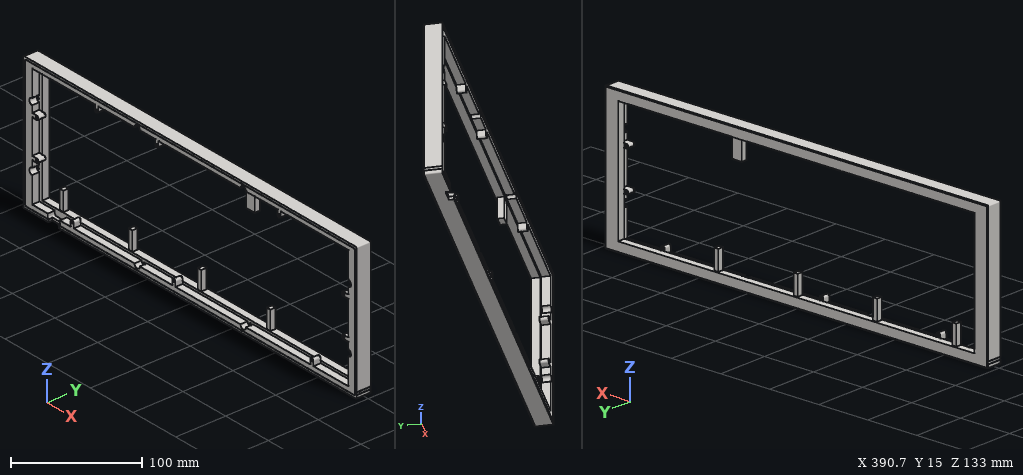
import cadquery as cq
LENGTH = 390.7
DEPTH = 15.0
HEIGHT = 133

LEDGE_Y = 7.5
SIDE_RAIL = 13.5
END_RAIL = 9.5
SIDE_LEDGE = 3.5
END_LEDGE = 2.5

CORNER_RADIUS = 1.0
BACK_CHAMFER = 0.8
RIM_WIDTH = 2.5
SIDE_RIM_WIDTH = 2.0
RIM_DEPTH = 0.2
RIM_INNER_RADIUS = 1.5

TAB_WIDTH = 4
TAB_REACH = 4
TAB_HOLE_DIAMETER = 2.0
TOP_TAB_X = (-109.8, -39, 104.5)
BOTTOM_TAB_X = (-138.5, -19.0, 142.5)
SIDE_TAB_Z = 18.8

NOTCH_RADIUS = 3.0
NOTCH_HOLE_RADIUS = 1.0
NOTCH_HOLE_INSET = 1.5
NOTCH_HOLE_END_Y = 11.5
NOTCH_X = 62.0
SIDE_NOTCH_Z = 30.5

POST_WIDTH = 4.3
POST_LENGTH = 18.8
POST_FRONT_Y = 8
POST_BACK_Y = 13.3
POST_PITCH = 81.0
FIRST_POST_X = -160.0
POST_COUNT = 4
BLOCK_WIDTH = 9.8
BLOCK_X = 61.7

OUTLET_X = -160.0
OUTLET_WIDTH = 14.0
OUTLET_FLOOR = 2.7
OUTLET_CORNER = 1.5
OUTLET_SLOT_WIDTH = 11.7
OUTLET_SLOT_DEPTH = 4

GROOVE_BOTTOM = 3.5
GROOVE_WIDTH = 2.5
GROOVE_DEPTH = 0.5

OPENING_LENGTH = LENGTH - 2 * SIDE_RAIL
OPENING_HEIGHT = HEIGHT - 2 * END_RAIL
WALL_LENGTH = OPENING_LENGTH + 2 * SIDE_LEDGE
WALL_HEIGHT = OPENING_HEIGHT + 2 * END_LEDGE


def block(x, z, width, height, y_front, y_back):
    """Box centred on (x, z), running from y_front to y_back."""
    return cq.Workplane("XY").box(width, y_back - y_front, height).translate((x, (y_front + y_back) / 2, z))


def cylinder(x, z, radius, y_front, y_back):
    """Cylinder along Y from y_front to y_back."""
    return cq.Workplane("XZ", origin=(x, y_front, z)).circle(radius).extrude(y_front - y_back)


def frame():
    body = block(0, 0, LENGTH, HEIGHT, 0, DEPTH).edges("|Y").fillet(CORNER_RADIUS)
    body = body.faces(">Y").edges().chamfer(BACK_CHAMFER)
    recess = block(0, 0, LENGTH - 2 * SIDE_RIM_WIDTH, HEIGHT - 2 * RIM_WIDTH, 0, RIM_DEPTH)
    body = body.cut(recess.edges("|Y").fillet(RIM_INNER_RADIUS))
    body = body.cut(block(0, 0, OPENING_LENGTH, OPENING_HEIGHT, 0, DEPTH))
    return body.cut(block(0, 0, WALL_LENGTH, WALL_HEIGHT, 0, LEDGE_Y))


def tab(reach):
    """Screw tab pointing along +X from x = 0, with a rounded, drilled tip."""
    tip = reach - TAB_WIDTH / 2
    arm = block(tip / 2, 0, tip, TAB_WIDTH, RIM_DEPTH, LEDGE_Y)
    rounded_end = cylinder(tip, 0, TAB_WIDTH / 2, RIM_DEPTH, LEDGE_Y)
    hole = cylinder(tip, 0, TAB_HOLE_DIAMETER / 2, RIM_DEPTH, LEDGE_Y)
    return arm.union(rounded_end).cut(hole)


def placed_tab(x, z, ledge, angle):
    return tab(ledge + TAB_REACH).rotate((0, 0, 0), (0, 1, 0), angle).translate((x, 0, z))


def tabs():
    parts = [placed_tab(x, WALL_HEIGHT / 2, END_LEDGE, 90) for x in TOP_TAB_X]
    parts += [placed_tab(x, -WALL_HEIGHT / 2, END_LEDGE, -90) for x in BOTTOM_TAB_X]
    for z in (-SIDE_TAB_Z, SIDE_TAB_Z):
        parts.append(placed_tab(-WALL_LENGTH / 2, z, SIDE_LEDGE, 0))
        parts.append(placed_tab(WALL_LENGTH / 2, z, SIDE_LEDGE, 180))
    return parts


def posts():
    z = (POST_LENGTH - OPENING_HEIGHT) / 2
    parts = [
        block(FIRST_POST_X + i * POST_PITCH, z, POST_WIDTH, POST_LENGTH, POST_FRONT_Y, POST_BACK_Y)
        for i in range(POST_COUNT)
    ]
    parts.append(block(BLOCK_X, -z, BLOCK_WIDTH, POST_LENGTH, POST_FRONT_Y, POST_BACK_Y))
    return parts


def notch(x, z, inset_x, inset_z):
    """Half-round notch centred on the wall, with a small hole sunk into the ledge behind it."""
    hole = cylinder(x + inset_x, z + inset_z, NOTCH_HOLE_RADIUS, 0, NOTCH_HOLE_END_Y)
    return cylinder(x, z, NOTCH_RADIUS, 0, LEDGE_Y).union(hole)


def notches():
    parts = []
    for side in (-1, 1):
        for other in (-1, 1):
            parts.append(notch(other * NOTCH_X, side * WALL_HEIGHT / 2, 0, side * NOTCH_HOLE_INSET))
            parts.append(notch(side * WALL_LENGTH / 2, other * SIDE_NOTCH_Z, side * NOTCH_HOLE_INSET, 0))
    return parts


def cable_outlet():
    floor_z = -HEIGHT / 2 + OUTLET_FLOOR
    top_z = -OPENING_HEIGHT / 2
    pocket = block(OUTLET_X, (floor_z + top_z) / 2, OUTLET_WIDTH, top_z - floor_z, 0, LEDGE_Y)
    pocket = pocket.edges("|Y and <Z").fillet(OUTLET_CORNER)
    slot = block(OUTLET_X, -HEIGHT / 2, OUTLET_SLOT_WIDTH, 2 * OUTLET_FLOOR, 0, OUTLET_SLOT_DEPTH)
    return pocket.union(slot)


def end_grooves():
    z = -HEIGHT / 2 + GROOVE_BOTTOM + GROOVE_WIDTH / 2
    return [block(x, z, 2 * GROOVE_DEPTH, GROOVE_WIDTH, 0, DEPTH) for x in (-LENGTH / 2, LENGTH / 2)]


result = frame()
for addition in tabs() + posts():
    result = result.union(addition)
for removal in notches() + end_grooves() + [cable_outlet()]:
    result = result.cut(removal)